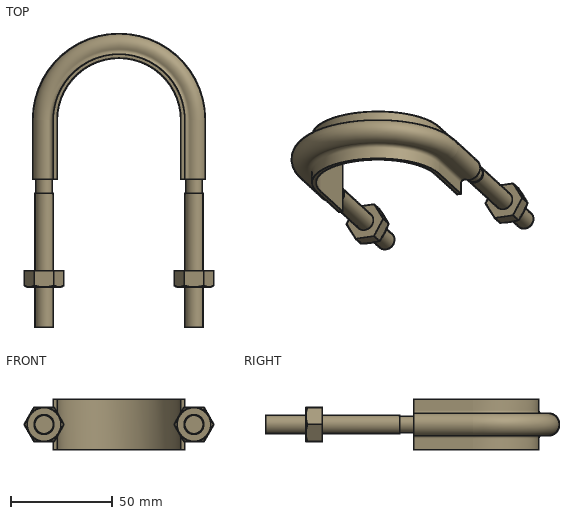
import cadquery as cq
import math


bolt_length = 145.1
leg_offset = 37.0
core_diameter = 8.3
thread_diameter = 9.1
thread_length = 66.2

saddle_end = 73.1
sheath_radius = 5.7
liner_inner_radius = 30.5
liner_thickness = 2.0
liner_width = 25.0
root_fillet = 1.7

nut_flats = 17.0
nut_height = 8.1
nut_start = 19.9
nut_face_diameter = 16.7
nut_chamfer_angle = 30.0
countersink_diameter = 9.7

bend_center = bolt_length - leg_offset - sheath_radius
liner_outer_radius = liner_inner_radius + liner_thickness
nut_corners = nut_flats / math.cos(math.pi / 6)


def leg_plane(x, y):
    """Plane across a leg, with its normal along +Y and its local X along +X."""
    return cq.Plane(origin=(x, y, 0), xDir=(1, 0, 0), normal=(0, 1, 0))


def leg_cylinder(x, start, length, diameter):
    return cq.Workplane(leg_plane(x, start)).circle(diameter / 2).extrude(length)


def make_u(draw_section, leg_end):
    """Solid U with legs starting at Y = leg_end; draw_section outlines the left leg on a plane."""
    left_leg = draw_section(leg_plane(-leg_offset, leg_end)).extrude(bend_center - leg_end)
    right_leg = left_leg.mirror("YZ")
    bend = draw_section(leg_plane(-leg_offset, bend_center)).revolve(
        180, (leg_offset, 0, 0), (leg_offset, 1, 0)
    )
    return left_leg.union(bend).union(right_leg)


def core_section(plane):
    return cq.Workplane(plane).circle(core_diameter / 2)


def make_u_bolt():
    bolt = make_u(core_section, thread_length)
    for x in (-leg_offset, leg_offset):
        bolt = bolt.union(leg_cylinder(x, 0, thread_length, thread_diameter))
    return bolt


def saddle_section(plane):
    """Left leg section: liner strip, sheath arc and the two fillets joining them.

    Local X is measured from the leg axis, positive toward the inside of the U.
    Local Y runs across the liner width.
    """
    inner_face = leg_offset - liner_inner_radius
    outer_face = leg_offset - liner_outer_radius
    half_width = liner_width / 2

    fillet_x = outer_face - root_fillet
    center_distance = sheath_radius + root_fillet
    fillet_y = math.sqrt(center_distance**2 - fillet_x**2)
    tangent_x = fillet_x * sheath_radius / center_distance
    tangent_y = fillet_y * sheath_radius / center_distance

    start_angle = math.atan2(-fillet_y, -fillet_x)
    middle_angle = start_angle / 2
    middle_x = fillet_x + root_fillet * math.cos(middle_angle)
    middle_y = fillet_y + root_fillet * math.sin(middle_angle)

    return (
        cq.Workplane(plane)
        .moveTo(inner_face, -half_width)
        .lineTo(inner_face, half_width)
        .lineTo(outer_face, half_width)
        .lineTo(outer_face, fillet_y)
        .threePointArc((middle_x, middle_y), (tangent_x, tangent_y))
        .threePointArc((-sheath_radius, 0), (tangent_x, -tangent_y))
        .threePointArc((middle_x, -middle_y), (outer_face, -fillet_y))
        .lineTo(outer_face, -half_width)
        .close()
    )


def make_saddle():
    return make_u(saddle_section, saddle_end).cut(make_u(core_section, saddle_end))


def make_nut(x):
    plane = leg_plane(x, nut_start)
    nut = cq.Workplane(plane).polygon(6, nut_corners).extrude(nut_height)

    face_radius = nut_face_diameter / 2
    corner_radius = nut_corners / 2
    chamfer_height = (corner_radius - face_radius) * math.tan(math.radians(nut_chamfer_angle))
    envelope = (
        cq.Workplane(plane)
        .circle(corner_radius)
        .extrude(nut_height)
        .faces("<Y")
        .chamfer(chamfer_height, corner_radius - face_radius)
    )
    nut = nut.intersect(envelope)

    nut = nut.cut(leg_cylinder(x, nut_start, nut_height, thread_diameter))
    hole_rim = nut.faces("<Y").edges(cq.selectors.RadiusNthSelector(0))
    return hole_rim.chamfer((countersink_diameter - thread_diameter) / 2)


u_bolt = make_u_bolt()
saddle = make_saddle()
nuts = [make_nut(x) for x in (-leg_offset, leg_offset)]

result = cq.Compound.makeCompound([u_bolt.val(), saddle.val(), *[nut.val() for nut in nuts]])